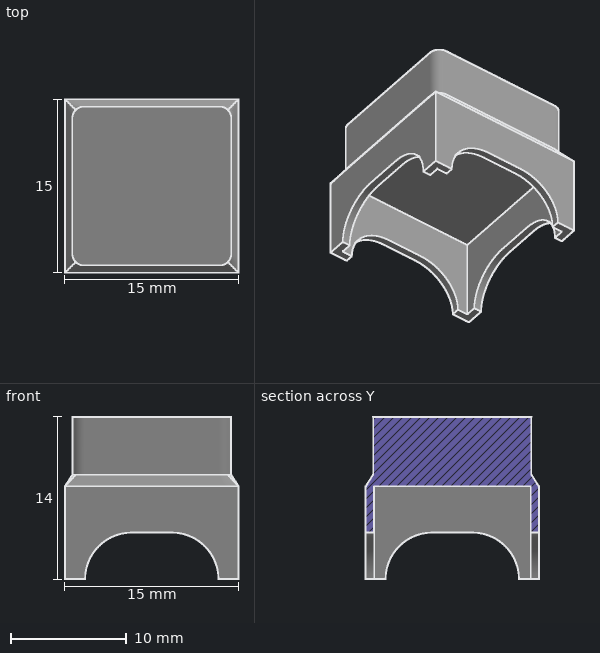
import math

import cadquery as cq

base_side = 15.0
total_height = 14.0

skirt_height = 8.0
wall = 0.75
cavity_side = base_side - 2 * wall
cavity_height = skirt_height

top_side = 13.71
top_corner_radius = 1.0
top_base_height = 9.0
top_block_height = total_height - top_base_height
shoulder_height = top_base_height - skirt_height

shoulder_corner_length = 1.12

foot_width = 1.75
arch_radius = 4.0
arch_half_width = base_side / 2 - foot_width
arch_half_flat = arch_half_width - arch_radius


def rotated(point, quarter_turns):
    """Turn a point about the origin by whole quarter turns."""
    x, y = point
    for _ in range(quarter_turns):
        x, y = -y, x
    return x, y


def add_square(sketch):
    """Square outline with each side split where the flat shoulder faces end."""
    half = base_side / 2
    split = half - shoulder_corner_length
    sketch = sketch.moveTo(half, -split)
    for turn in range(4):
        for point in ((half, split), (half, half), (split, half)):
            sketch = sketch.lineTo(*rotated(point, turn))
    return sketch.close()


def add_rounded_square(sketch):
    """Outline of the top block, with each corner drawn as two equal arcs."""
    half = top_side / 2
    center = half - top_corner_radius

    def on_corner(degrees):
        angle = math.radians(degrees)
        x = center + top_corner_radius * math.cos(angle)
        y = center + top_corner_radius * math.sin(angle)
        return x, y

    sketch = sketch.moveTo(half, -center)
    for turn in range(4):
        sketch = sketch.lineTo(*rotated((half, center), turn))
        for middle, end in ((22.5, 45), (67.5, 90)):
            sketch = sketch.threePointArc(
                rotated(on_corner(middle), turn),
                rotated(on_corner(end), turn),
            )
    return sketch.close()


def make_skirt():
    """Square body below the shoulder."""
    return cq.Workplane("XY").rect(base_side, base_side).extrude(skirt_height)


def make_shoulder():
    """Sloping band that blends the square skirt into the rounded block."""
    lower = add_square(cq.Workplane("XY").workplane(offset=skirt_height))
    both = add_rounded_square(lower.workplane(offset=shoulder_height))
    return both.loft(ruled=True)


def make_top_block():
    """Straight-sided block with rounded vertical corners."""
    outline = add_rounded_square(cq.Workplane("XY").workplane(offset=top_base_height))
    return outline.extrude(top_block_height)


def make_cavity():
    """Square hollow, open at the feet and closed at the shoulder."""
    return cq.Workplane("XY").rect(cavity_side, cavity_side).extrude(cavity_height)


def make_arch(plane):
    """Flat-topped arch with quarter-round sides, running right through the part."""
    return (
        cq.Workplane(plane)
        .moveTo(-arch_half_width, 0)
        .radiusArc((-arch_half_flat, arch_radius), arch_radius)
        .lineTo(arch_half_flat, arch_radius)
        .radiusArc((arch_half_width, 0), arch_radius)
        .close()
        .extrude(base_side / 2, both=True)
    )


result = make_skirt().union(make_shoulder()).union(make_top_block()).cut(make_cavity())
for plane in ("XZ", "YZ"):
    result = result.cut(make_arch(plane))